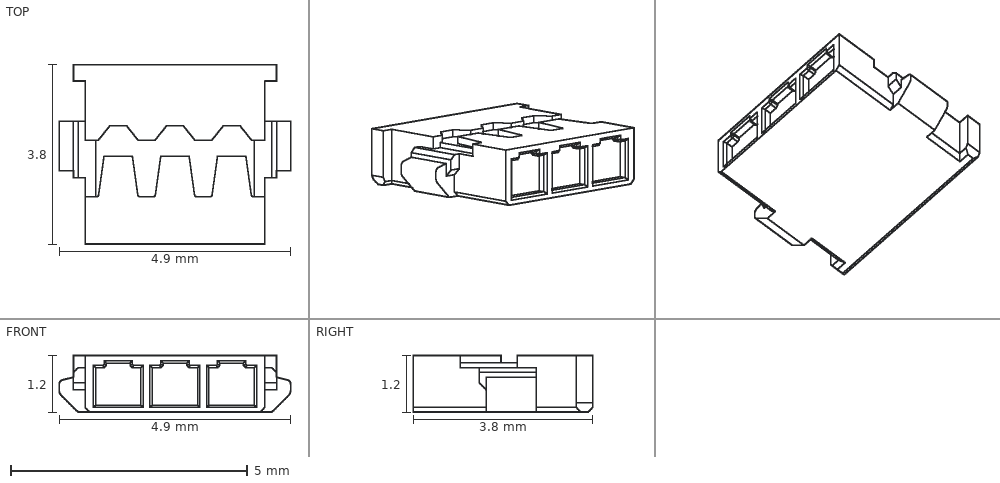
import cadquery as cq
import math

BODY_WIDTH = 3.8
BODY_LENGTH = 3.8
BODY_HEIGHT = 1.2
BOTTOM_CHAMFER = 0.1

CONTACT_COUNT = 3
CONTACT_PITCH = 1.2

FLANGE_OVERHANG = 0.25
FLANGE_LENGTH = 0.35
FLANGE_TAPER_WIDTH = 0.1
FLANGE_TAPER_HEIGHT = 0.2

SIDE_REAR_Y = 0.7
SHOULDER_FRONT_Y = -0.5
SHOULDER_OVERHANG = 0.25
SHOULDER_TOP_Z = 0.94
SHOULDER_CHAMFER = 0.1
SHOULDER_BOTTOM_Z = 0.47
SHOULDER_UNDERCUT = 0.15
WING_FRONT_Y = -0.35
WING_SPAN = 4.9
WING_LOWER_SLOPE = 0.4
WING_SHOULDER_Z = 0.742
WING_TOP_ANGLE = 14.0
WING_TOP_RADIUS = 0.1
WING_LOWER_RADIUS = 0.15

RECESS_DEPTH = 0.15
RECESS_REAR_Y = 0.3
RECESS_FRONT_Y = -0.9
STRIP_WIDTH = 0.22
SCALLOP_DEPTH = 0.3
SCALLOP_BASE_WIDTH = 0.84
SCALLOP_TIP_WIDTH = 0.36
TONGUE_TIP_Y = -0.04
TONGUE_TIP_WIDTH = 0.6
TONGUE_ROOT_WIDTH = 0.84
TONGUE_ROOT_RADIUS = 0.05

POCKET_WIDTH = 1.06
POCKET_BOTTOM_Z = 0.1
POCKET_TOP_Z = 0.99
POCKET_KEY_WIDTH = 0.6
POCKET_KEY_HEIGHT = 0.1
POCKET_DEPTH = 0.2
POCKET_LEAD_IN = 0.05
POCKET_KEY_CORNER = 0.02

HALF_WIDTH = BODY_WIDTH / 2
FRONT_Y = -BODY_LENGTH / 2
REAR_Y = BODY_LENGTH / 2
CONTACT_XS = [(i - (CONTACT_COUNT - 1) / 2) * CONTACT_PITCH for i in range(CONTACT_COUNT)]


def box(x_min, x_max, y_min, y_max, z_min, z_max):
    size = (x_max - x_min, y_max - y_min, z_max - z_min)
    return cq.Workplane("XY").box(*size, centered=False).translate((x_min, y_min, z_min))


def extrude_along_y(points, y_min, y_max):
    """Extrude an XZ outline from y_min back to y_max."""
    plane = cq.Workplane("XZ", origin=(0, y_max, 0))
    return plane.polyline(points).close().extrude(y_max - y_min)


def on_both_sides(solid):
    return solid.union(solid.mirror("YZ"))


def make_body():
    body = box(-HALF_WIDTH, HALF_WIDTH, FRONT_Y, REAR_Y, 0, BODY_HEIGHT)
    body = body.edges("|Y and <Z").chamfer(BOTTOM_CHAMFER)
    return body.edges(">Y and <Z").chamfer(BOTTOM_CHAMFER)


def make_flange():
    """Rear flange, tapered in at the bottom of its ends and chamfered front and rear."""
    half_span = HALF_WIDTH + FLANGE_OVERHANG
    half_foot = half_span - FLANGE_TAPER_WIDTH
    outline = [
        (-half_foot, 0),
        (half_foot, 0),
        (half_span, FLANGE_TAPER_HEIGHT),
        (half_span, BODY_HEIGHT),
        (-half_span, BODY_HEIGHT),
        (-half_span, FLANGE_TAPER_HEIGHT),
    ]
    flange = extrude_along_y(outline, REAR_Y - FLANGE_LENGTH, REAR_Y)
    return flange.faces("<Z").edges("|X").chamfer(BOTTOM_CHAMFER)


def make_shoulders():
    """Side shoulders, chamfered along the top and undercut at the front."""
    outer_x = HALF_WIDTH + SHOULDER_OVERHANG
    side_outline = [
        (SIDE_REAR_Y, SHOULDER_BOTTOM_Z),
        (SIDE_REAR_Y, SHOULDER_TOP_Z),
        (SHOULDER_FRONT_Y, SHOULDER_TOP_Z),
        (SHOULDER_FRONT_Y, SHOULDER_BOTTOM_Z + SHOULDER_UNDERCUT),
        (SHOULDER_FRONT_Y + SHOULDER_UNDERCUT, SHOULDER_BOTTOM_Z),
    ]
    inner_x = HALF_WIDTH - STRIP_WIDTH
    plane = cq.Workplane("YZ", origin=(inner_x, 0, 0))
    shoulder = plane.polyline(side_outline).close().extrude(outer_x - inner_x)
    return on_both_sides(shoulder.edges(">X and >Z").chamfer(SHOULDER_CHAMFER))


def make_wings():
    """Latch wings with a 45 degree underside and a gently falling top."""
    tip_x = WING_SPAN / 2
    shoulder_x = HALF_WIDTH + SHOULDER_OVERHANG
    inner_x = HALF_WIDTH - BOTTOM_CHAMFER
    tip_top_z = WING_SHOULDER_Z - (tip_x - shoulder_x) * math.tan(math.radians(WING_TOP_ANGLE))
    outline = [
        (inner_x, 0),
        (tip_x - WING_LOWER_SLOPE, 0),
        (tip_x, WING_LOWER_SLOPE),
        (tip_x, tip_top_z),
        (shoulder_x, WING_SHOULDER_Z),
        (inner_x, WING_SHOULDER_Z),
    ]
    wing = extrude_along_y(outline, WING_FRONT_Y, SIDE_REAR_Y)
    tip_middle_z = (WING_LOWER_SLOPE + tip_top_z) / 2
    upper_edge = cq.selectors.BoxSelector(
        (shoulder_x, WING_FRONT_Y, tip_middle_z), (WING_SPAN, SIDE_REAR_Y, WING_SHOULDER_Z)
    )
    wing = wing.faces(">X").edges("|Y").edges(upper_edge).fillet(WING_TOP_RADIUS)
    wing = wing.faces(">X").edges("|Y and <Z").fillet(WING_LOWER_RADIUS)
    return on_both_sides(wing)


def make_tongue(center_x, floor_z):
    """Tapered tongue standing in the recess, flaring into its front wall."""
    root = TONGUE_ROOT_WIDTH / 2
    tip = TONGUE_TIP_WIDTH / 2
    outline = [
        (-root, RECESS_FRONT_Y),
        (root, RECESS_FRONT_Y),
        (tip, TONGUE_TIP_Y),
        (-tip, TONGUE_TIP_Y),
    ]
    plane = cq.Workplane("XY", origin=(center_x, 0, floor_z))
    return plane.polyline(outline).close().extrude(RECESS_DEPTH)


def make_recess():
    """Cutter for the recess: scalloped rear wall, tongues left standing, deeper end strips."""
    floor_z = BODY_HEIGHT - RECESS_DEPTH
    recess = box(-HALF_WIDTH, HALF_WIDTH, RECESS_FRONT_Y, RECESS_REAR_Y, floor_z, BODY_HEIGHT)
    scallop_outline = [
        (-SCALLOP_BASE_WIDTH / 2, RECESS_REAR_Y),
        (SCALLOP_BASE_WIDTH / 2, RECESS_REAR_Y),
        (SCALLOP_TIP_WIDTH / 2, RECESS_REAR_Y + SCALLOP_DEPTH),
        (-SCALLOP_TIP_WIDTH / 2, RECESS_REAR_Y + SCALLOP_DEPTH),
    ]
    for center_x in CONTACT_XS:
        plane = cq.Workplane("XY", origin=(center_x, 0, floor_z))
        recess = recess.union(plane.polyline(scallop_outline).close().extrude(RECESS_DEPTH))
    for center_x in CONTACT_XS:
        recess = recess.cut(make_tongue(center_x, floor_z))
    root_corners = recess.edges("|Z").edges(
        cq.selectors.BoxSelector(
            (-HALF_WIDTH + STRIP_WIDTH / 2, RECESS_FRONT_Y - TONGUE_ROOT_RADIUS, 0),
            (HALF_WIDTH - STRIP_WIDTH / 2, RECESS_FRONT_Y + TONGUE_ROOT_RADIUS, BODY_HEIGHT),
        )
    )
    recess = root_corners.fillet(TONGUE_ROOT_RADIUS)
    strip = box(
        HALF_WIDTH - STRIP_WIDTH, HALF_WIDTH,
        RECESS_FRONT_Y, RECESS_REAR_Y,
        SHOULDER_TOP_Z, BODY_HEIGHT,
    )
    return recess.union(on_both_sides(strip))


def pocket_outline(inset):
    """Keyed pocket outline pulled in by inset; the corners beside the key are cut at 45 degrees."""
    half = POCKET_WIDTH / 2 - inset
    key = POCKET_KEY_WIDTH / 2 - inset
    bottom = POCKET_BOTTOM_Z + inset
    top = POCKET_TOP_Z - inset
    key_top = top + POCKET_KEY_HEIGHT
    corner = POCKET_KEY_CORNER + inset * (2 - math.sqrt(2))
    return [
        (-half, bottom),
        (half, bottom),
        (half, top),
        (key + corner, top),
        (key, top + corner),
        (key, key_top),
        (-key, key_top),
        (-key, top + corner),
        (-key - corner, top),
        (-half, top),
    ]


def make_pocket(center_x):
    """Cutter for one keyed contact pocket with a 45 degree lead-in at its mouth."""
    inner_outline = pocket_outline(POCKET_LEAD_IN)
    bore = extrude_along_y(inner_outline, FRONT_Y, FRONT_Y + POCKET_DEPTH)
    mouth = cq.Workplane("XZ", origin=(0, FRONT_Y, 0)).polyline(pocket_outline(0)).close()
    throat = mouth.workplane(offset=-POCKET_LEAD_IN).polyline(inner_outline).close()
    return bore.union(throat.loft(ruled=True)).translate((center_x, 0, 0))


result = make_body().union(make_flange()).cut(make_recess())
result = result.union(make_shoulders()).union(make_wings())
for contact_x in CONTACT_XS:
    result = result.cut(make_pocket(contact_x))